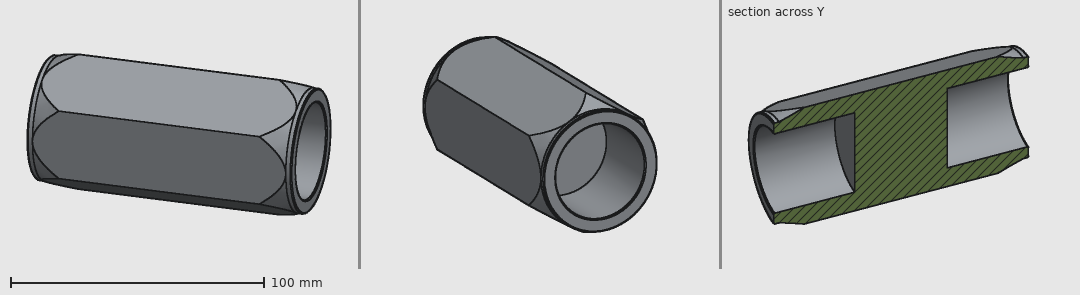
import cadquery as cq
import math

LENGTH = 110.0
SIDES = 6
ACROSS_FLATS = 50.0
COLLAR_LENGTH = 2.35
CONE_ANGLE = 19.5
RIM_CHAMFER = 0.5
BORE_DIAMETER = 38.95
BORE_DEPTH = 35.0
BORE_CHAMFER = 0.5

HALF_LENGTH = LENGTH / 2
COLLAR_RADIUS = ACROSS_FLATS / 2
CORNER_RADIUS = COLLAR_RADIUS / math.cos(math.pi / SIDES)
BORE_RADIUS = BORE_DIAMETER / 2
CONE_LENGTH = (CORNER_RADIUS - COLLAR_RADIUS) / math.tan(math.radians(CONE_ANGLE))


def revolve_about_x(outline):
    """Solid of revolution about the X axis from (x, radius) points."""
    return cq.Workplane("XY").polyline(outline).close().revolve(360, (0, 0, 0), (1, 0, 0))


def make_hex_bar():
    """Hexagonal bar along X, with one corner pointing up and one down."""
    bar = cq.Workplane("YZ").polygon(SIDES, 2 * CORNER_RADIUS).extrude(HALF_LENGTH, both=True)
    return bar.rotate((0, 0, 0), (1, 0, 0), 90)


def make_turned_envelope():
    """Round envelope with a cone, a short collar and a chamfered rim at each end."""
    collar_x = HALF_LENGTH - COLLAR_LENGTH
    end_profile = [
        (HALF_LENGTH, 0),
        (HALF_LENGTH, COLLAR_RADIUS - RIM_CHAMFER),
        (HALF_LENGTH - RIM_CHAMFER, COLLAR_RADIUS),
        (collar_x, COLLAR_RADIUS),
        (collar_x - CONE_LENGTH, CORNER_RADIUS),
    ]
    mirrored_profile = [(-x, radius) for x, radius in reversed(end_profile)]
    return revolve_about_x(end_profile + mirrored_profile)


def make_bore():
    """Cutter for the blind, flat-bottomed bore with a chamfered mouth at the -X end."""
    mouth_x = -HALF_LENGTH
    floor_x = mouth_x + BORE_DEPTH
    return revolve_about_x([
        (mouth_x, 0),
        (mouth_x, BORE_RADIUS + BORE_CHAMFER),
        (mouth_x + BORE_CHAMFER, BORE_RADIUS),
        (floor_x, BORE_RADIUS),
        (floor_x, 0),
    ])


body = make_hex_bar().intersect(make_turned_envelope())
bore = make_bore()
result = body.cut(bore).cut(bore.mirror("YZ"))